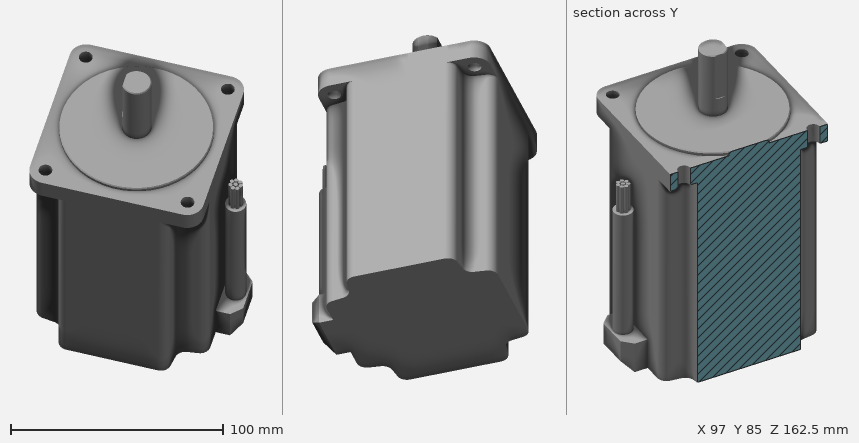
import cadquery as cq
import math

width = 85.0
half_width = width / 2
body_height = 115.5
face_flat = 45.0
notch_radius = 5.0
notch_wall_tilt = 8.0

flange_thickness = 10.0
flange_corner_radius = 8.0
mount_hole_spacing = 69.6
mount_hole_diameter = 6.5
flange_top = body_height + flange_thickness

pilot_diameter = 73.025
pilot_height = 2.0
pilot_chamfer = 0.5
pilot_top = flange_top + pilot_height

shaft_diameter = 14.0
shaft_length = 35.0
shaft_chamfer = 0.5
flat_length = 25.0
deep_flat_depth = 1.1
shallow_flat_depth = 0.5
shaft_top = pilot_top + shaft_length

outlet_depth = 12.0
outlet_width = 26.5
outlet_height = 16.5
outlet_chamfer = 5.0
outlet_center_x = half_width + outlet_depth / 2

cable_diameter = 10.0
cable_top = 85.5
wire_diameter = 2.0
wire_top = 100.5
wire_ring_radius = 2.5
wire_ring_count = 7
wire_ring_start = -4.0


def cylinder(x, y, diameter, bottom, top):
    """Upright cylinder between two heights."""
    return cq.Workplane("XY", origin=(x, y, bottom)).circle(diameter / 2).extrude(top - bottom)


def make_body():
    """Square body whose four corners are notched, with rounded lips and roots."""
    tilt = math.radians(notch_wall_tilt)
    lip = face_flat / 2 + notch_radius * math.tan((math.pi / 2 - tilt) / 2)
    root = (lip + half_width * math.tan(tilt)) / (1 + math.tan(tilt))

    outline = []
    for quarter in range(4):
        angle = quarter * math.pi / 2
        for x, y in [(half_width, lip), (root, root), (lip, half_width)]:
            turned_x = x * math.cos(angle) - y * math.sin(angle)
            turned_y = x * math.sin(angle) + y * math.cos(angle)
            outline.append((turned_x, turned_y))
    body = cq.Workplane("XY").polyline(outline).close().extrude(body_height)
    return body.edges("|Z").fillet(notch_radius)


def make_flange():
    """Square plate with rounded corners and four through holes."""
    plate = cq.Workplane("XY", origin=(0, 0, body_height)).rect(width, width).extrude(flange_thickness)
    plate = plate.edges("|Z").fillet(flange_corner_radius)
    holes = plate.faces(">Z").workplane().rect(mount_hole_spacing, mount_hole_spacing, forConstruction=True)
    return holes.vertices().hole(mount_hole_diameter)


def make_pilot():
    """Low centring disc with a chamfered rim."""
    disc = cylinder(0, 0, pilot_diameter, flange_top, pilot_top)
    return disc.faces(">Z").edges().chamfer(pilot_chamfer)


def make_shaft():
    """Output shaft with a deep flat facing -X and a shallow flat facing +Y."""
    shaft = cylinder(0, 0, shaft_diameter, pilot_top, shaft_top)
    shaft = shaft.faces(">Z").edges().chamfer(shaft_chamfer)
    cutter = cq.Workplane("XY", origin=(0, 0, shaft_top - flat_length))
    cutter = cutter.rect(shaft_diameter, shaft_diameter).extrude(flat_length)
    deep_cut = cutter.translate((deep_flat_depth - shaft_diameter, 0, 0))
    shallow_cut = cutter.translate((0, shaft_diameter - shallow_flat_depth, 0))
    return shaft.cut(deep_cut).cut(shallow_cut)


def make_outlet():
    """Cable outlet block with its outer upright and lower edges chamfered."""
    block = cq.Workplane("XY", origin=(outlet_center_x, 0, 0))
    block = block.rect(outlet_depth, outlet_width).extrude(outlet_height)
    block = block.edges("|Z and >X").chamfer(outlet_chamfer)
    return block.faces(">X").edges("<Z").chamfer(outlet_chamfer)


def make_cable():
    """Upright cable ending in a centre wire and a ring of wires."""
    cable = cylinder(outlet_center_x, 0, cable_diameter, outlet_height, cable_top)
    cable = cable.union(cylinder(outlet_center_x, 0, wire_diameter, cable_top, wire_top))
    for index in range(wire_ring_count):
        angle = math.radians(wire_ring_start + index * 360 / wire_ring_count)
        x = outlet_center_x + wire_ring_radius * math.cos(angle)
        y = wire_ring_radius * math.sin(angle)
        cable = cable.union(cylinder(x, y, wire_diameter, cable_top, wire_top))
    return cable


result = make_body().union(make_flange()).union(make_pilot()).union(make_shaft())
result = result.union(make_outlet()).union(make_cable())